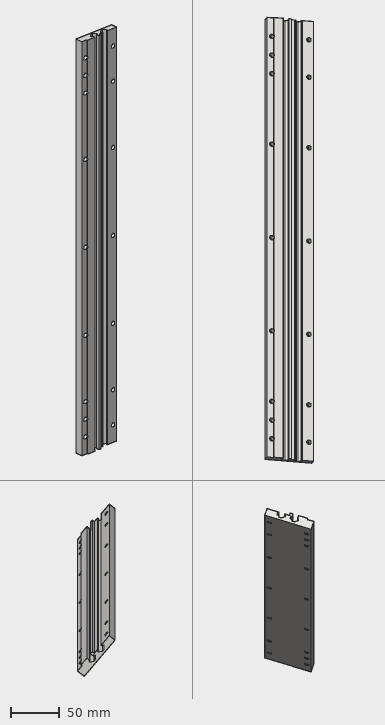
import cadquery as cq

length = 471.0
width = 50.0
full_thickness = 10.3

thin_thickness = 7.6
foot_thickness = 9.0
foot_width = 7.0
rib_top = 0.8

slot_floor = 2.5
taper_end = 5.0
lip_face = 6.6
floor_width = 2.0
cavity_width = 8.5
mouth_width = 5.8
slot_pitch = 14.0
lower_slot = -5.1

hole_diameter = 4.5
hole_edge_distance = 5.0
end_hole_distances = (20.0, 60.0)
extra_hole_distance = 40.0
middle_hole_pitch = 100.0

half_width = width / 2
half_length = length / 2
hole_row = half_width - hole_edge_distance
slot_positions = (lower_slot, lower_slot + slot_pitch)


def section_plane():
    """Horizontal sketch plane at the lower end of the bar."""
    return cq.Workplane("XY").workplane(offset=-half_length)


def make_body():
    """Flat front at X = 0 with a stepped back: foot, thick rib, thin flange."""
    foot_top = -half_width + foot_width
    section = [
        (0, -half_width),
        (foot_thickness, -half_width),
        (foot_thickness, foot_top),
        (full_thickness, foot_top),
        (full_thickness, rib_top),
        (thin_thickness, rib_top),
        (thin_thickness, half_width),
        (0, half_width),
    ]
    return section_plane().polyline(section).close().extrude(length)


def make_slot(y):
    """Full-length T-slot centred on y, with its mouth open to the back."""
    half_profile = [
        (slot_floor, floor_width / 2),
        (taper_end, cavity_width / 2),
        (lip_face, cavity_width / 2),
        (lip_face, mouth_width / 2),
        (full_thickness, mouth_width / 2),
    ]
    upper_side = [(x, y + offset) for x, offset in half_profile]
    lower_side = [(x, y - offset) for x, offset in reversed(half_profile)]
    return section_plane().polyline(upper_side + lower_side).close().extrude(length)


def hole_points():
    """(Y, Z) centres: matching holes in both rows, plus one more near each end of the -Y row."""
    heights = [-middle_hole_pitch, 0, middle_hole_pitch]
    for distance in end_hole_distances:
        heights += [half_length - distance, distance - half_length]
    points = [(y, z) for y in (-hole_row, hole_row) for z in heights]
    extra_height = half_length - extra_hole_distance
    points += [(-hole_row, -extra_height), (-hole_row, extra_height)]
    return points


def make_holes():
    return cq.Workplane("YZ").pushPoints(hole_points()).circle(hole_diameter / 2).extrude(full_thickness)


result = make_body()
for slot_y in slot_positions:
    result = result.cut(make_slot(slot_y))
result = result.cut(make_holes())